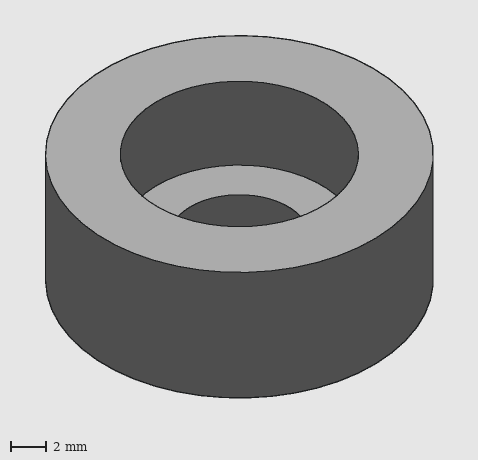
import cadquery as cq

outer_diameter = 22.0
height = 9.0
bore_diameter = 8.0
counterbore_diameter = 13.5
counterbore_depth = 6.0

result = (
    cq.Workplane("XY")
    .circle(outer_diameter / 2)
    .extrude(height)
    .faces(">Z")
    .workplane()
    .cboreHole(bore_diameter, counterbore_diameter, counterbore_depth)
)